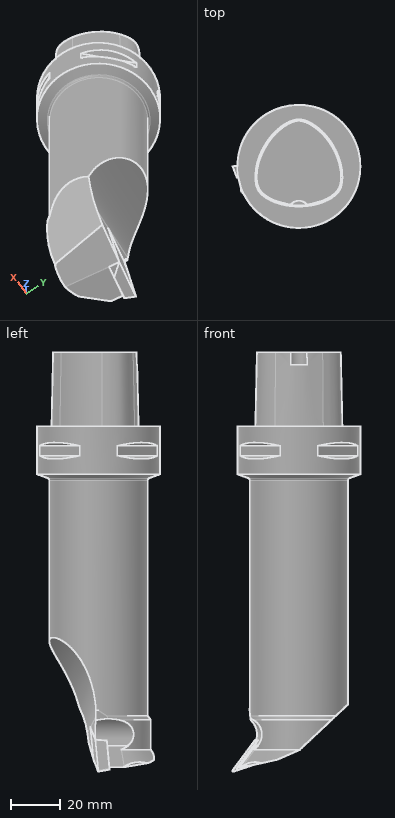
import cadquery as cq
import math

shank_top_z = 30.0
flange_bottom_z = -19.5
neck_bottom_z = -22.0
neck_blend_z = -21.0
head_top_z = -117.3
head_full_z = -119.0
flare_top_z = -131.0
tip_z = -140.0

flange_radius = 25.0
bar_radius = 20.0
neck_blend_radius = 20.8
head_radius = 19.6
head_offset_y = -1.6
flare_slope = 0.74
blend_height = 4.0
blend_slope = 0.12

shank_base_diameter = 35.4
shank_top_diameter = 34.1
lobe_height = 1.4
lobe_half_angle = 38.5
points_per_arc = 8

key_radius = 4.2
key_bottom_y = -13.9
key_depth = 5.2

groove_z = -9.95
groove_floor_radius = 22.2
groove_floor_width = 3.9
groove_mouth_width = 6.7
groove_count = 4
first_groove_angle = 45.0

insert_side = 16.6
insert_corner = 35.0
insert_thickness = 4.76
insert_clearance = 5.0
nose_radius = 0.4
tip_x = -26.9
tip_y = 0.0
end_edge_angle = 18.3
side_edge_angle = end_edge_angle + insert_corner
rake_slope = 0.13

flute_tilt = -0.25
flute_runout_radius = 45.0
flute_runout_z = -122.3

relief_start_z = -112.7
relief_end_x = 0.5

pocket_radius = 7.9
pocket_x = -24.8
pocket_z = -124.9

seat_setback = 1.0
seat_end_angle = 13.5
head_end_angle = 23.5
seat_side_length = 11.0

rim_flat_start = (-23.0, -10.5)
rim_flat_end = (-19.8, -14.3)

reach = 80.0


def lobed_wire(diameter, z):
    """Closed three-lobed curve of constant width, made of a lobe and a flank arc three times."""

    def point(normal_deg):
        t = math.radians(normal_deg)
        x = diameter / 2 * math.cos(t) + lobe_height * (2 * math.cos(2 * t) - math.cos(4 * t))
        y = diameter / 2 * math.sin(t) - lobe_height * (2 * math.sin(2 * t) + math.sin(4 * t))
        return cq.Vector(-y, x, z)

    seams = []
    for lobe in range(3):
        seams.append(120 * lobe - lobe_half_angle)
        seams.append(120 * lobe + lobe_half_angle)
    seams.append(seams[0] + 360)

    edges = []
    for start, end in zip(seams, seams[1:]):
        step = (end - start) / points_per_arc
        edges.append(cq.Edge.makeSpline([point(start + step * i) for i in range(points_per_arc + 1)]))
    return cq.Wire.assembleEdges(edges)


def make_shank():
    shank = cq.Workplane(obj=cq.Solid.makeLoft(
        [lobed_wire(shank_base_diameter, 0), lobed_wire(shank_top_diameter, shank_top_z)], True))
    keyway = (
        cq.Workplane(origin=(0, key_bottom_y - key_radius, shank_top_z))
        .circle(key_radius)
        .extrude(-key_depth)
    )
    return shank.cut(keyway)


def make_flange_and_bar():
    blend_width = neck_blend_radius - bar_radius
    blend_drop = neck_blend_z - neck_bottom_z
    arc_share = math.sqrt(0.5)
    neck_arc_middle = (
        neck_blend_radius - arc_share * blend_width,
        neck_bottom_z + arc_share * blend_drop,
    )
    body = (
        cq.Workplane("XZ")
        .lineTo(flange_radius, 0)
        .lineTo(flange_radius, flange_bottom_z)
        .lineTo(neck_blend_radius, neck_blend_z)
        .threePointArc(neck_arc_middle, (bar_radius, neck_bottom_z))
        .lineTo(bar_radius, head_top_z)
        .lineTo(0, head_top_z)
        .close()
        .revolve(360, (0, 0), (0, 1))
    )
    outer_radius = 2 * flange_radius - groove_floor_radius
    floor_half = groove_floor_width / 2
    outer_half = groove_mouth_width - floor_half
    groove = (
        cq.Workplane("XZ")
        .polyline([
            (groove_floor_radius, groove_z - floor_half),
            (outer_radius, groove_z - outer_half),
            (outer_radius, groove_z + outer_half),
            (groove_floor_radius, groove_z + floor_half),
        ])
        .close()
        .extrude(flange_radius, both=True)
    )
    for i in range(groove_count):
        body = body.cut(groove.rotate((0, 0, 0), (0, 0, 1), first_groove_angle + i * 360 / groove_count))
    return body


bisector = math.radians(end_edge_angle + insert_corner / 2)
nose_offset = nose_radius / math.sin(math.radians(insert_corner / 2))
corner_x = tip_x + nose_radius - nose_offset * math.cos(bisector)
corner_z = tip_z + nose_radius - nose_offset * math.sin(bisector)

rake_plane = cq.Plane(
    origin=(corner_x, tip_y, corner_z),
    xDir=(1, rake_slope, 0),
    normal=(rake_slope, -1, 0),
)


def along(angle, length):
    return (length * math.cos(math.radians(angle)), length * math.sin(math.radians(angle)))


def make_insert():
    end = along(end_edge_angle, insert_side)
    side = along(side_edge_angle, insert_side)
    opposite = (end[0] + side[0], end[1] + side[1])
    return (
        cq.Workplane(rake_plane)
        .polyline([(0, 0), end, opposite, side])
        .close()
        .extrude(insert_thickness, taper=insert_clearance)
        .edges(cq.selectors.NearestToPointSelector((corner_x, tip_y, corner_z)))
        .fillet(nose_radius)
    )


def make_head():
    transition = cq.Workplane(obj=cq.Solid.makeLoft([
        cq.Wire.makeCircle(bar_radius, cq.Vector(0, 0, head_top_z), cq.Vector(0, 0, 1)),
        cq.Wire.makeCircle(head_radius, cq.Vector(0, head_offset_y, head_full_z), cq.Vector(0, 0, 1)),
    ], True))
    flare_bottom_radius = head_radius + flare_slope * (flare_top_z - corner_z)
    profile = [
        (0, head_full_z),
        (head_radius, head_full_z),
        (head_radius, flare_top_z),
        (flare_bottom_radius, corner_z),
        (0, corner_z),
    ]
    head = (
        cq.Workplane("XZ", origin=(0, head_offset_y, 0))
        .polyline(profile)
        .close()
        .revolve(360, (0, 0), (0, 1))
    )

    kink = along(end_edge_angle, insert_side)
    end_run = along(head_end_angle, reach)
    far_end = (kink[0] + end_run[0], kink[1] + end_run[1])
    gap = math.radians(side_edge_angle - seat_end_angle)
    kink_to_side = insert_side * math.sin(math.radians(insert_corner)) - seat_setback
    seat_end = along(seat_end_angle, kink_to_side / math.sin(gap))
    seat_corner = (kink[0] - seat_end[0], kink[1] - seat_end[1])
    side = along(side_edge_angle, seat_side_length)
    seat_top = (seat_corner[0] + side[0], seat_corner[1] + side[1])
    outline = (
        cq.Workplane(rake_plane)
        .polyline([seat_corner, kink, far_end, (far_end[0], reach),
                   (-reach, reach), (-reach, seat_top[1]), seat_top])
        .close()
        .extrude(reach, both=True)
    )
    return transition.union(head.intersect(outline).cut(make_rim_trim()))


def make_rim_trim():
    """Block outside the vertical flat on the flared rim."""
    run = (rim_flat_end[0] - rim_flat_start[0], rim_flat_end[1] - rim_flat_start[1])
    plane = cq.Plane(origin=(*rim_flat_start, flare_top_z), xDir=(*run, 0), normal=(0, 0, 1))
    return cq.Workplane(plane).center(0, -reach / 2).rect(2 * reach, reach).extrude(-reach)


def make_flute():
    floor_y = tip_y - rake_slope * corner_x
    plane = cq.Plane(
        origin=(0, floor_y, flute_runout_z),
        xDir=(-rake_slope, 1, 0),
        normal=(1, rake_slope, flute_tilt),
    )
    r = flute_runout_radius
    arc_middle = (r * (1 - math.sqrt(0.5)), r * math.sqrt(0.5))
    return (
        cq.Workplane(plane)
        .moveTo(0, -reach)
        .lineTo(0, 0)
        .threePointArc(arc_middle, (r, r))
        .lineTo(r, -reach)
        .close()
        .extrude(reach, both=True)
    )


def make_back_relief():
    slope = (relief_start_z - flare_top_z) / (bar_radius - relief_end_x)
    low_x = relief_end_x - bar_radius
    high_x = relief_end_x + reach
    low_z = flare_top_z - bar_radius * slope
    return (
        cq.Workplane("XZ")
        .polyline([(low_x, low_z), (high_x, flare_top_z + reach * slope), (high_x, low_z)])
        .close()
        .extrude(reach, both=True)
    )


def make_pocket():
    plane = cq.Plane(
        origin=(pocket_x, 0, pocket_z), xDir=(1, rake_slope, 0), normal=(rake_slope, -1, 0))
    return cq.Workplane(plane).circle(pocket_radius).extrude(reach / 2, both=True)


def make_blend():
    """Ring outside the cone that narrows the bar's end to the head's off-axis circle."""
    top_radius = head_radius + blend_slope * blend_height
    ring = cq.Workplane(origin=(0, head_offset_y, head_full_z)).circle(flange_radius)
    ring = ring.extrude(blend_height)
    cone = cq.Workplane(obj=cq.Solid.makeCone(
        head_radius, top_radius, blend_height, pnt=cq.Vector(0, head_offset_y, head_full_z)))
    return ring.cut(cone)


insert = make_insert()

tool_body = make_flange_and_bar().union(make_shank())
tool_body = tool_body.union(make_head()).cut(make_blend())
for cutter in (make_flute(), make_back_relief(), make_pocket(), insert):
    tool_body = tool_body.cut(cutter)

result = cq.Compound.makeCompound([tool_body.val(), insert.val()])